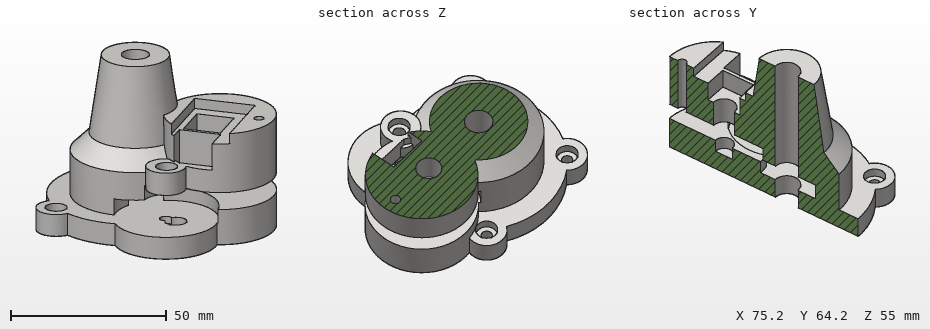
import cadquery as cq

flange_top = 7.5
lower_disc_top = 12.1
gear_space_top = 13.0
housing_bottom = 17.9
body_top = 22.5
shelf_z = 25.55
shaft_pocket_floor = 27.6
shoulder_top = 28.5
tray_floor = 34.55
housing_top = 38.0
nozzle_top = 55.0

flange_radius = 28.5
body_radius = 20.95
nozzle_bottom_radius = 14.9
nozzle_top_radius = 11.0
bore_radius = 4.5

lug_offset = 20.1
lug_radius = 6.5
screw_radius = 1.8
screw_head_radius = 3.5
screw_head_depth = 3.0
boss_seat = shelf_z - screw_head_depth

idler_x = 16.4
idler_y = -18.85
idler_lobe_radius = 16.9
idler_clearance = 16.9
pinion_clearance = 7.1
boss_radius = 6.45
pin_radius = 2.0
base_pin_depth = 2.4

upper_pin_x = 16.75
upper_pin_y = -19.15
sweep_radius = 16.75

main_gear_clearance = 11.35
window_right = 12.5
window_back = 10.15

housing_x = 28.5
housing_radius = 18.1
lower_disc_radius = 18.2
housing_gap_radius = 18.9
slot_limit_radius = 17.2
vent_x = 41.6
vent_radius = 1.6

shaft_x = 24.95
shaft_hole_radius = 4.1
shaft_seat_radius = 3.3

open_front = -22.55
tray_left, tray_right, tray_back = 16.5, 36.9, 10.6
pocket_left, pocket_right, pocket_front, pocket_back = 18.7, 31.2, -7.8, 6.2
slot_left, slot_right, slot_front, slot_back = 17.7, 31.6, -14.8, -9.0


def cylinder(x, y, radius, z_low, z_high):
    """Upright cylinder between two heights."""
    return cq.Workplane("XY", origin=(x, y, z_low)).circle(radius).extrude(z_high - z_low)


def block(x_low, x_high, y_low, y_high, z_low, z_high):
    """Box given by its limits along each axis."""
    size = (x_high - x_low, y_high - y_low, z_high - z_low)
    return cq.Workplane("XY", origin=(x_low, y_low, z_low)).box(*size, centered=False)


def make_column():
    """Cylindrical body, sloping shoulder and tapered nozzle."""
    return (
        cq.Workplane("XZ")
        .moveTo(0, 0)
        .lineTo(body_radius, 0)
        .lineTo(body_radius, body_top)
        .lineTo(nozzle_bottom_radius, shoulder_top)
        .lineTo(nozzle_top_radius, nozzle_top)
        .lineTo(0, nozzle_top)
        .close()
        .revolve(360, (0, 0, 0), (0, 1, 0))
    )


def cut_gear_spaces(column):
    """Clear the column for the main gear, the idler gear, its pinion and the housing gap."""
    main_gear = cylinder(0, 0, main_gear_clearance, flange_top, gear_space_top)
    idler = cylinder(idler_x, idler_y, idler_clearance, flange_top, gear_space_top)
    pinion = cylinder(idler_x, idler_y, pinion_clearance, flange_top, housing_bottom)
    gap = cylinder(housing_x, 0, housing_gap_radius, lower_disc_top, housing_bottom)
    window = block(0, window_right, 0, window_back, lower_disc_top, gear_space_top)
    for space in (main_gear, idler, pinion, gap, window):
        column = column.cut(space)
    return column


def make_flange():
    """Round flange with four screw lugs and the idler lobe."""
    flange = cylinder(0, 0, flange_radius, 0, flange_top)
    for x, y in lug_centres:
        flange = flange.union(cylinder(x, y, lug_radius, 0, flange_top))
    return flange.union(cylinder(idler_x, idler_y, idler_lobe_radius, 0, flange_top))


def make_lower_disc():
    """Disc under the motor, hollowed by the idler gear, with a seat for the shaft end."""
    disc = cylinder(housing_x, 0, lower_disc_radius, 0, lower_disc_top)
    sweep = cylinder(upper_pin_x, upper_pin_y, sweep_radius, flange_top, lower_disc_top)
    seat = cylinder(shaft_x, 0, shaft_seat_radius, flange_top, lower_disc_top)
    return disc.cut(sweep).cut(seat)


def make_slot():
    """Slot through the shelf, kept inside a circle about the housing and above the boss seat."""
    slot = block(slot_left, slot_right, slot_front, slot_back, housing_bottom, shelf_z)
    limit = cylinder(housing_x, 0, slot_limit_radius, housing_bottom, shelf_z)
    boss_foot = cylinder(idler_x, idler_y, boss_radius, housing_bottom, boss_seat)
    return slot.intersect(limit).cut(boss_foot)


def cut_housing_recesses(part):
    """Tray, shaft pocket, front slot and round holes of the motor housing."""
    tray = block(tray_left, tray_right, open_front, tray_back, tray_floor, housing_top)
    pocket = block(pocket_left, pocket_right, pocket_front, pocket_back, shaft_pocket_floor, tray_floor)
    opening = block(slot_left, slot_right, open_front, slot_back, shelf_z, tray_floor)
    shaft_hole = cylinder(shaft_x, 0, shaft_hole_radius, housing_bottom, shaft_pocket_floor)
    vent = cylinder(vent_x, 0, vent_radius, housing_bottom, housing_top)
    for recess in (tray, pocket, opening, make_slot(), shaft_hole, vent):
        part = part.cut(recess)
    return part


def cut_screw_holes(part):
    """Counterbored screw hole in every lug."""
    for x, y in lug_centres:
        part = part.cut(cylinder(x, y, screw_radius, 0, flange_top))
        part = part.cut(cylinder(x, y, screw_head_radius, flange_top - screw_head_depth, flange_top))
    return part


def cut_idler_pin(part):
    """Pin hole through the boss, its counterbore, and the blind pin hole in the flange."""
    head = cylinder(upper_pin_x, upper_pin_y, screw_head_radius, boss_seat, shelf_z)
    upper = cylinder(upper_pin_x, upper_pin_y, pin_radius, housing_bottom, shelf_z)
    lower = cylinder(idler_x, idler_y, pin_radius, flange_top - base_pin_depth, flange_top)
    return part.cut(head).cut(upper).cut(lower)


lug_centres = [(sx * lug_offset, sy * lug_offset) for sx in (-1, 1) for sy in (-1, 1)]

housing = cylinder(housing_x, 0, housing_radius, housing_bottom, housing_top)
boss = cylinder(idler_x, idler_y, boss_radius, housing_bottom, shelf_z)

part = cut_gear_spaces(make_column()).union(housing).union(boss)
part = cut_housing_recesses(part)
part = part.union(make_flange()).union(make_lower_disc())
part = cut_screw_holes(part)
part = cut_idler_pin(part)
result = part.cut(cylinder(0, 0, bore_radius, 0, nozzle_top))